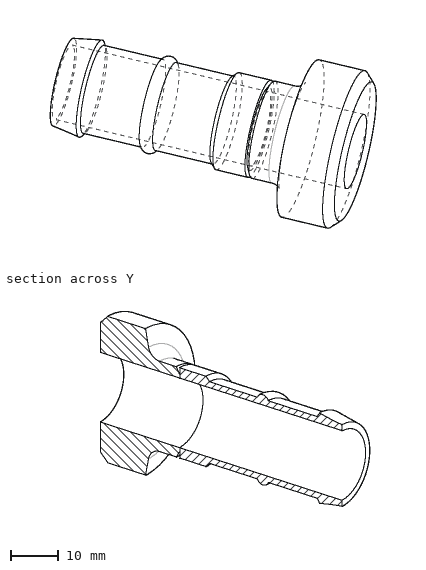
import cadquery as cq
import math

TOTAL_LENGTH = 64.0
BORE_RADIUS = 16.0 / 2
TUBE_RADIUS = 19.0 / 2
COLLAR_RADIUS = 21.0 / 2
FLANGE_RADIUS = 34.0 / 2

NOSE_RADIUS = 9.5
BARB_CREST_X = 6.0
BARB_END_X = 6.65

BEAD_CENTRE_X = 21.0
BEAD_WIDTH = 2.95

COLLAR_STEP = COLLAR_RADIUS - TUBE_RADIUS
COLLAR_START_X = 35.0
JOINT_X = 43.0
JOINT_BEVEL_LENGTH = 0.8
JOINT_ROOT_RADIUS = 18.0 / 2

FLANGE_BACK_X = 52.0
FLANGE_BACK_ANGLE = math.radians(11)
BLEND_OUTER_RADIUS = 25.8 / 2
FLANGE_CHAMFER = 2.0


def revolve_about_x(outline):
    """Turn a closed outline, drawn as (X, radius), into a ring about the X axis."""
    return outline.close().revolve(360, (0, 0, 0), (1, 0, 0))


def make_hose_tail():
    """Barbed tube with a bead and a collar, ending in a flat face at the joint."""
    bead_start_x = BEAD_CENTRE_X - BEAD_WIDTH / 2
    bead_end_x = BEAD_CENTRE_X + BEAD_WIDTH / 2
    outline = (
        cq.Workplane("XY")
        .moveTo(0, BORE_RADIUS)
        .lineTo(0, NOSE_RADIUS)
        .lineTo(BARB_CREST_X, COLLAR_RADIUS)
        .lineTo(BARB_END_X, TUBE_RADIUS)
        .lineTo(bead_start_x, TUBE_RADIUS)
        .threePointArc((BEAD_CENTRE_X, COLLAR_RADIUS), (bead_end_x, TUBE_RADIUS))
        .lineTo(COLLAR_START_X, TUBE_RADIUS)
        .lineTo(COLLAR_START_X + COLLAR_STEP, COLLAR_RADIUS)
        .lineTo(JOINT_X, COLLAR_RADIUS)
        .lineTo(JOINT_X, BORE_RADIUS)
    )
    return revolve_about_x(outline)


def make_flange():
    """Flange with a bevelled neck that butts against the hose tail."""
    blend_height = BLEND_OUTER_RADIUS - COLLAR_RADIUS
    blend_radius = blend_height / (1 - math.sin(FLANGE_BACK_ANGLE))
    back_depth = (FLANGE_RADIUS - BLEND_OUTER_RADIUS) * math.tan(FLANGE_BACK_ANGLE)
    blend_end_x = FLANGE_BACK_X - back_depth
    blend_start_x = blend_end_x - blend_radius * math.cos(FLANGE_BACK_ANGLE)
    half_sweep = (math.pi / 2 - FLANGE_BACK_ANGLE) / 2
    blend_middle = (
        blend_start_x + blend_radius * math.sin(half_sweep),
        COLLAR_RADIUS + blend_radius * (1 - math.cos(half_sweep)),
    )
    outline = (
        cq.Workplane("XY")
        .moveTo(JOINT_X, BORE_RADIUS)
        .lineTo(JOINT_X, JOINT_ROOT_RADIUS)
        .lineTo(JOINT_X + JOINT_BEVEL_LENGTH, COLLAR_RADIUS)
        .lineTo(blend_start_x, COLLAR_RADIUS)
        .threePointArc(blend_middle, (blend_end_x, BLEND_OUTER_RADIUS))
        .lineTo(FLANGE_BACK_X, FLANGE_RADIUS)
        .lineTo(TOTAL_LENGTH - FLANGE_CHAMFER, FLANGE_RADIUS)
        .lineTo(TOTAL_LENGTH, FLANGE_RADIUS - FLANGE_CHAMFER)
        .lineTo(TOTAL_LENGTH, BORE_RADIUS)
    )
    return revolve_about_x(outline)


hose_tail = make_hose_tail()
flange = make_flange()

result = cq.Compound.makeCompound([hose_tail.val(), flange.val()])